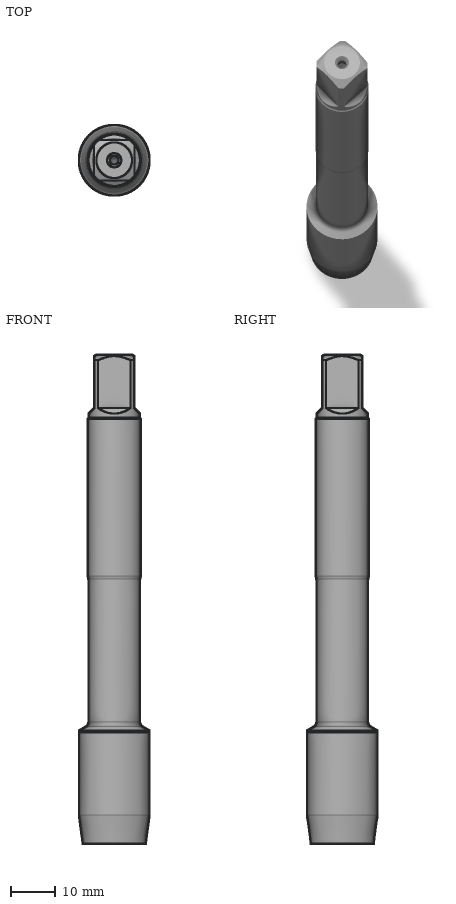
import cadquery as cq
import math

LENGTH = 110.0
LEAD_TOP_Z = 6.5
THREAD_TOP_Z = 25.1
NECK_BOTTOM_Z = 27.4
SHANK_BOTTOM_Z = 60.2
SHANK_TOP_Z = 95.8
SHANK_BOTTOM_TAPER = 0.7
SHANK_TOP_CHAMFER = 0.3

THREAD_DIA = 16.0
TIP_DIA = 14.2
NECK_DIA = 11.7
SHANK_DIA = 12.0
HEAD_DIA = 11.5
COLLAR_SLOPE = 30.0
COLLAR_FILLET = 1.2

SQUARE_WIDTH = 9.0
SQUARE_BOTTOM_Z = 98.0
SQUARE_FLOOR_SLOPE = 45.0
TOP_FACE_DIA = 8.0
TOP_CHAMFER_SLOPE = 35.0

HOLE_DIA = 2.0
HOLE_MOUTH_DIA = 3.2
COUNTERSINK_ANGLE = 60.0
HOLE_DEPTH = 2.8
DRILL_POINT_ANGLE = 118.0


def revolve_profile(points):
    """Turn an outline of (radius, height) points about the Z axis."""
    return cq.Workplane("XZ").polyline(points).close().revolve(360, (0, 0, 0), (0, 1, 0))


def rise(run, slope):
    """Height gained over a horizontal run at a slope in degrees."""
    return run * math.tan(math.radians(slope))


def make_thread_section():
    """Cutting end: a plain cylinder with a tapered lead towards the tip."""
    return revolve_profile([
        (0, 0),
        (TIP_DIA / 2, 0),
        (THREAD_DIA / 2, LEAD_TOP_Z),
        (THREAD_DIA / 2, THREAD_TOP_Z),
        (0, THREAD_TOP_Z),
    ])


def make_turned_shank():
    """Collar, neck, shank and chamfered head, before the square is cut."""
    fillet_turn = math.radians(90 - COLLAR_SLOPE)
    fillet_centre_r = NECK_DIA / 2 + COLLAR_FILLET
    half_turn = fillet_turn / 2
    fillet_middle = (
        fillet_centre_r - COLLAR_FILLET * math.cos(half_turn),
        NECK_BOTTOM_Z - COLLAR_FILLET * math.sin(half_turn),
    )
    fillet_end = (
        fillet_centre_r - COLLAR_FILLET * math.cos(fillet_turn),
        NECK_BOTTOM_Z - COLLAR_FILLET * math.sin(fillet_turn),
    )
    collar_drop = rise(THREAD_DIA / 2 - fillet_end[0], COLLAR_SLOPE)
    top_chamfer_rise = rise((HEAD_DIA - TOP_FACE_DIA) / 2, TOP_CHAMFER_SLOPE)
    return (
        cq.Workplane("XZ")
        .moveTo(0, THREAD_TOP_Z)
        .lineTo(THREAD_DIA / 2, THREAD_TOP_Z)
        .lineTo(THREAD_DIA / 2, fillet_end[1] - collar_drop)
        .lineTo(*fillet_end)
        .threePointArc(fillet_middle, (NECK_DIA / 2, NECK_BOTTOM_Z))
        .lineTo(NECK_DIA / 2, SHANK_BOTTOM_Z - SHANK_BOTTOM_TAPER)
        .lineTo(SHANK_DIA / 2, SHANK_BOTTOM_Z)
        .lineTo(SHANK_DIA / 2, SHANK_TOP_Z - SHANK_TOP_CHAMFER)
        .lineTo(HEAD_DIA / 2, SHANK_TOP_Z)
        .lineTo(HEAD_DIA / 2, LENGTH - top_chamfer_rise)
        .lineTo(TOP_FACE_DIA / 2, LENGTH)
        .lineTo(0, LENGTH)
        .close()
        .revolve(360, (0, 0, 0), (0, 1, 0))
    )


def make_flat_cutter():
    """Cutter for the +X flat; its floor slopes down and outwards."""
    inner_x = SQUARE_WIDTH / 2
    outer_x = SHANK_DIA / 2
    floor_drop = rise(outer_x - inner_x, SQUARE_FLOOR_SLOPE)
    return (
        cq.Workplane("XZ")
        .polyline([
            (inner_x, SQUARE_BOTTOM_Z),
            (outer_x, SQUARE_BOTTOM_Z - floor_drop),
            (outer_x, LENGTH),
            (inner_x, LENGTH),
        ])
        .close()
        .extrude(SHANK_DIA / 2, both=True)
    )


def make_centre_hole():
    """Countersunk blind hole with a drill-point bottom."""
    countersink_width = (HOLE_MOUTH_DIA - HOLE_DIA) / 2
    countersink_depth = countersink_width / math.tan(math.radians(COUNTERSINK_ANGLE / 2))
    point_depth = HOLE_DIA / 2 / math.tan(math.radians(DRILL_POINT_ANGLE / 2))
    return revolve_profile([
        (0, LENGTH),
        (HOLE_MOUTH_DIA / 2, LENGTH),
        (HOLE_DIA / 2, LENGTH - countersink_depth),
        (HOLE_DIA / 2, LENGTH - HOLE_DEPTH),
        (0, LENGTH - HOLE_DEPTH - point_depth),
    ])


def make_shank():
    """Complete shank with its driving square and centre hole."""
    body = make_turned_shank()
    flat_cutter = make_flat_cutter()
    for angle in (0, 90, 180, 270):
        body = body.cut(flat_cutter.rotate((0, 0, 0), (0, 0, 1), angle))
    return body.cut(make_centre_hole())


thread_section = make_thread_section()
shank = make_shank()

result = cq.Compound.makeCompound([thread_section.val(), shank.val()])